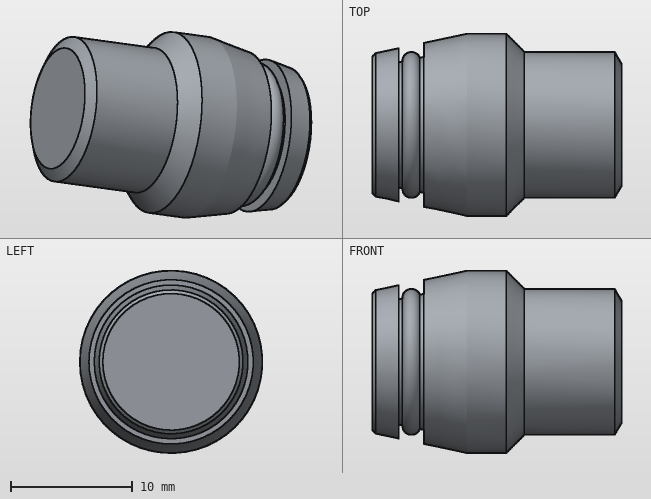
import cadquery as cq
import math

overall_length = 20.5
collar_radius = 15.0 / 2
tube_radius = 12.0 / 2

cone_slope = math.tan(math.radians(24.0 / 2))
cone_end_x = 7.8
nose_chamfer = 0.3

collar_end_x = 11.0
shoulder_end_x = collar_end_x + (collar_radius - tube_radius)

bevel_depth = 1.0
bevel_length = 0.6

groove_start_x = 2.2
groove_width = 2.05
groove_end_x = groove_start_x + groove_width
groove_depth = 1.15

ring_section_radius = 0.75
ring_centre_x = groove_start_x + groove_width / 2
ring_centre_radius = tube_radius - ring_section_radius


def cone_radius(x):
    """Radius of the sealing cone at position x."""
    return collar_radius - (cone_end_x - x) * cone_slope


def revolve_about_x(profile):
    """Turn a profile in the XY plane fully around the X axis."""
    return profile.revolve(360, (0, 0, 0), (1, 0, 0))


def make_o_ring():
    section = cq.Workplane("XY").moveTo(ring_centre_x, ring_centre_radius).circle(ring_section_radius)
    return revolve_about_x(section)


def make_nipple(o_ring):
    nose_radius = cone_radius(nose_chamfer)
    outline = [
        (0, 0),
        (0, nose_radius - nose_chamfer),
        (nose_chamfer, nose_radius),
        (groove_start_x, cone_radius(groove_start_x)),
        (groove_start_x, cone_radius(groove_start_x) - groove_depth),
        (groove_end_x, cone_radius(groove_end_x) - groove_depth),
        (groove_end_x, cone_radius(groove_end_x)),
        (cone_end_x, collar_radius),
        (collar_end_x, collar_radius),
        (shoulder_end_x, tube_radius),
        (overall_length - bevel_length, tube_radius),
        (overall_length, tube_radius - bevel_depth),
        (overall_length, 0),
    ]
    blank = revolve_about_x(cq.Workplane("XY").polyline(outline).close())
    return blank.cut(o_ring)


o_ring = make_o_ring()
nipple = make_nipple(o_ring)

result = cq.Compound.makeCompound([nipple.val(), o_ring.val()])